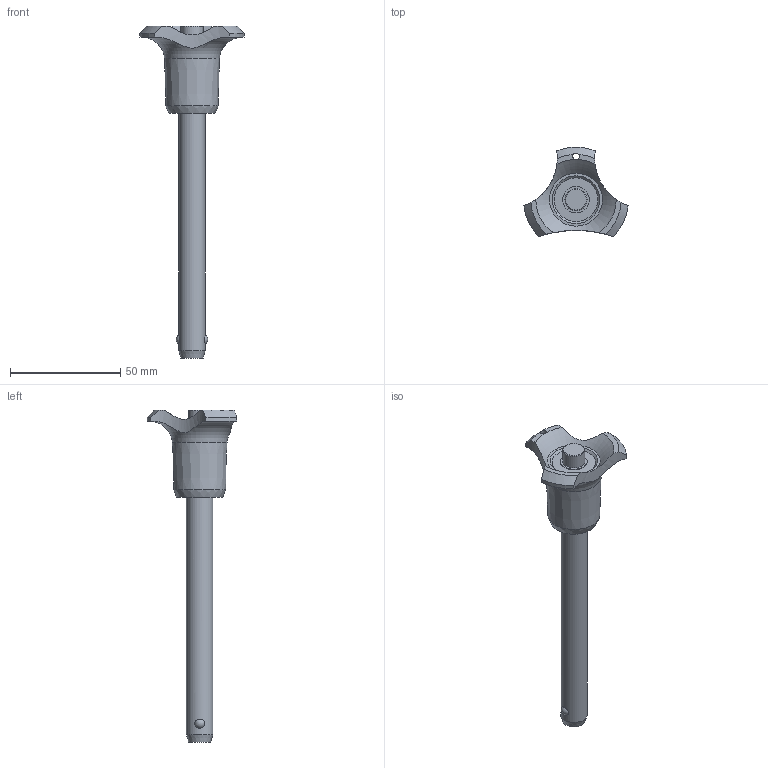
import cadquery as cq

total_length = 150.3
handle_height = 39.6
shank_length = total_length - handle_height

shank_radius = 6.0
tip_radius = 5.0
tip_chamfer_height = 3.2

ball_radius = 2.4
ball_reach = 7.1
ball_height = 8.3 - shank_length

grip_bottom_radius = 10.4
grip_shoulder_radius = 11.8
grip_shoulder_mid_radius = 11.2
grip_shoulder_mid_height = 1.5
grip_shoulder_height = 3.6
grip_top_radius = 12.4
grip_top_height = handle_height - 14.6

rim_radius = 23.78
rim_bottom_height = handle_height - 5.1
rim_bevel = 3.3
flare_top_radius = 21.9
flare_mid_radius = 13.9
flare_mid_height = handle_height - 10.0
crest_inner_radius = 18.2

floor_height = handle_height - 7.0
floor_radius = 9.9
floor_bevel = 0.9
bowl_foot_radius = 12.0
bowl_mid_radius = 14.2
bowl_mid_height = handle_height - 3.7

button_radius = 5.0
button_chamfer = 0.3
shank_end_rise = 0.3

front_scallop_radius = 51.0
front_scallop_apex_y = -13.9
side_scallop_radius = 23.2
side_scallop_x = 31.65
side_scallop_y = 18.95

lanyard_hole_diameter = 3.0
lanyard_hole_y = 19.6


def make_handle_blank():
    """Revolved grip and flared head with an open bowl on top."""
    profile = (
        cq.Workplane("XZ")
        .lineTo(grip_bottom_radius, 0)
        .threePointArc(
            (grip_shoulder_mid_radius, grip_shoulder_mid_height),
            (grip_shoulder_radius, grip_shoulder_height),
        )
        .lineTo(grip_top_radius, grip_top_height)
        .threePointArc(
            (flare_mid_radius, flare_mid_height),
            (flare_top_radius, rim_bottom_height),
        )
        .lineTo(rim_radius, rim_bottom_height)
        .lineTo(rim_radius, handle_height - rim_bevel)
        .lineTo(rim_radius - rim_bevel, handle_height)
        .lineTo(crest_inner_radius, handle_height)
        .threePointArc(
            (bowl_mid_radius, bowl_mid_height),
            (bowl_foot_radius, floor_height + floor_bevel),
        )
        .lineTo(floor_radius + floor_bevel, floor_height + floor_bevel)
        .lineTo(floor_radius, floor_height)
        .lineTo(0, floor_height)
        .close()
    )
    return profile.revolve(360, (0, 0, 0), (0, 1, 0))


def cut_scallops(handle):
    """Cut the wide front scallop and the two tighter side scallops."""
    cutters = [(0, front_scallop_apex_y - front_scallop_radius, front_scallop_radius)]
    for side in (-1, 1):
        cutters.append((side * side_scallop_x, side_scallop_y, side_scallop_radius))
    for x, y, radius in cutters:
        scallop = (
            cq.Workplane("XY", origin=(x, y, grip_top_height))
            .circle(radius)
            .extrude(handle_height - grip_top_height)
        )
        handle = handle.cut(scallop)
    return handle


def cut_lanyard_hole(handle):
    hole = (
        cq.Workplane("XY", origin=(0, lanyard_hole_y, grip_top_height))
        .circle(lanyard_hole_diameter / 2)
        .extrude(handle_height - grip_top_height)
    )
    return handle.cut(hole)


def make_shank():
    """Straight pin with a tapered tip; its upper end shows in the bowl floor."""
    return (
        cq.Workplane("XZ")
        .moveTo(0, -shank_length)
        .lineTo(tip_radius, -shank_length)
        .lineTo(shank_radius, tip_chamfer_height - shank_length)
        .lineTo(shank_radius, floor_height + shank_end_rise)
        .lineTo(0, floor_height + shank_end_rise)
        .close()
        .revolve(360, (0, 0, 0), (0, 1, 0))
    )


def make_button():
    return (
        cq.Workplane("XY", origin=(0, 0, floor_height))
        .circle(button_radius)
        .extrude(handle_height - floor_height)
        .faces(">Z")
        .chamfer(button_chamfer)
    )


def make_ball(side):
    center_x = side * (ball_reach - ball_radius)
    return cq.Workplane("XY", origin=(center_x, 0, ball_height)).sphere(ball_radius)


handle = cut_lanyard_hole(cut_scallops(make_handle_blank()))
result = handle.union(make_shank()).union(make_button())
for side in (-1, 1):
    result = result.union(make_ball(side))